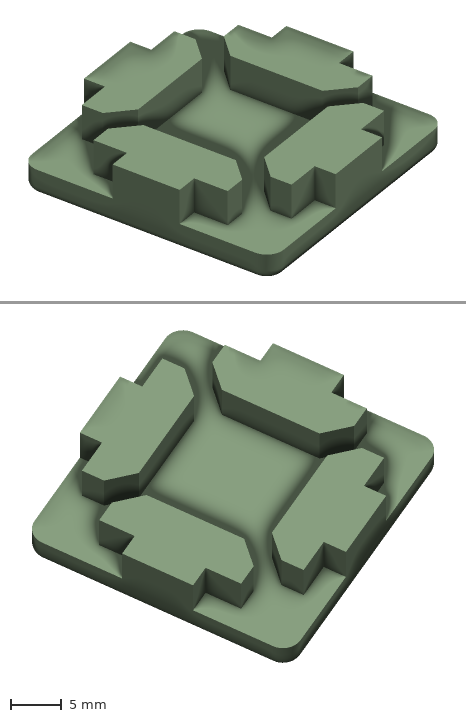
import cadquery as cq

plate_side = 30.0
plate_thickness = 3.0
corner_radius = 2.0
bottom_fillet = 1.0

lug_count = 4
lug_height = 4.0
stem_width = 8.0
stem_length = 2.5
head_width = 16.0
head_depth = 5.0
head_chamfer = 2.5


def make_plate():
    """Square plate with rounded corners and a rounded bottom edge."""
    plate = cq.Workplane("XY").rect(plate_side, plate_side).extrude(plate_thickness)
    plate = plate.edges("|Z").fillet(corner_radius)
    return plate.faces("<Z").edges().fillet(bottom_fillet)


def make_lug():
    """Lug on the -Y side: stem flush with the plate edge, chamfered head toward the centre."""
    outer_y = -plate_side / 2
    shoulder_y = outer_y + stem_length
    inner_y = shoulder_y + head_depth
    half_stem = stem_width / 2
    half_head = head_width / 2
    right_half = [
        (half_stem, outer_y),
        (half_stem, shoulder_y),
        (half_head, shoulder_y),
        (half_head, inner_y - head_chamfer),
        (half_head - head_chamfer, inner_y),
    ]
    left_half = [(-x, y) for x, y in reversed(right_half)]
    profile = cq.Workplane("XY").workplane(offset=plate_thickness).polyline(right_half + left_half)
    return profile.close().extrude(lug_height)


result = make_plate()
lug = make_lug()
for index in range(lug_count):
    angle = index * 360.0 / lug_count
    result = result.union(lug.rotate((0, 0, 0), (0, 0, 1), angle))